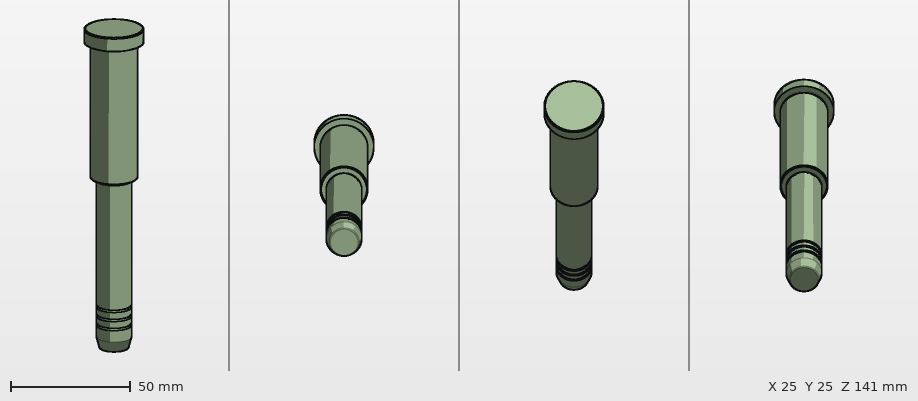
import cadquery as cq
import math

total_length = 141.0
head_height = 6.0
body_length = 60.0
tip_length = 5.0

head_radius = 12.5
body_radius = 10.0
pin_radius = 7.5
tip_half_angle = 15.0

head_chamfer = 0.5
body_chamfer = 0.5
tip_fillet = 0.5

relief_width = 1.0
relief_depth = 0.5

groove_radius = 0.5
ring_count = 3
ring_pitch = 4.0
first_ring_middle = 10.5

head_bottom = total_length - head_height
body_bottom = head_bottom - body_length
tip_radius = pin_radius - tip_length * math.tan(math.radians(tip_half_angle))
head_groove_middle = head_bottom - groove_radius


def add_groove(profile, outer_radius, middle):
    """Extend the profile up to and through a half-round groove."""
    floor_point = (outer_radius - groove_radius, middle)
    top_point = (outer_radius, middle + groove_radius)
    return profile.lineTo(outer_radius, middle - groove_radius).threePointArc(floor_point, top_point)


def add_tip(profile):
    """Flat end and tapered tip."""
    return profile.lineTo(tip_radius, 0).lineTo(pin_radius, tip_length)


def add_pin(profile):
    """Slim pin with its ring grooves and the square relief under the body."""
    for index in range(ring_count):
        profile = add_groove(profile, pin_radius, first_ring_middle + index * ring_pitch)
    relief_bottom = body_bottom - relief_width
    relief_radius = pin_radius - relief_depth
    return (
        profile.lineTo(pin_radius, relief_bottom)
        .lineTo(relief_radius, relief_bottom)
        .lineTo(relief_radius, body_bottom)
    )


def add_body(profile):
    """Thicker body, chamfered below and grooved under the head."""
    profile = profile.lineTo(body_radius - body_chamfer, body_bottom)
    profile = profile.lineTo(body_radius, body_bottom + body_chamfer)
    return add_groove(profile, body_radius, head_groove_middle)


def add_head(profile):
    """Head with a chamfered top edge, ending on the axis."""
    return (
        profile.lineTo(head_radius, head_bottom)
        .lineTo(head_radius, total_length - head_chamfer)
        .lineTo(head_radius - head_chamfer, total_length)
        .lineTo(0, total_length)
    )


half_section = cq.Workplane("XZ").moveTo(0, 0)
half_section = add_tip(half_section)
half_section = add_pin(half_section)
half_section = add_body(half_section)
half_section = add_head(half_section)
turned_pin = half_section.close().revolve(360, (0, 0, 0), (0, 1, 0))

result = turned_pin.faces("<Z").edges().fillet(tip_fillet)